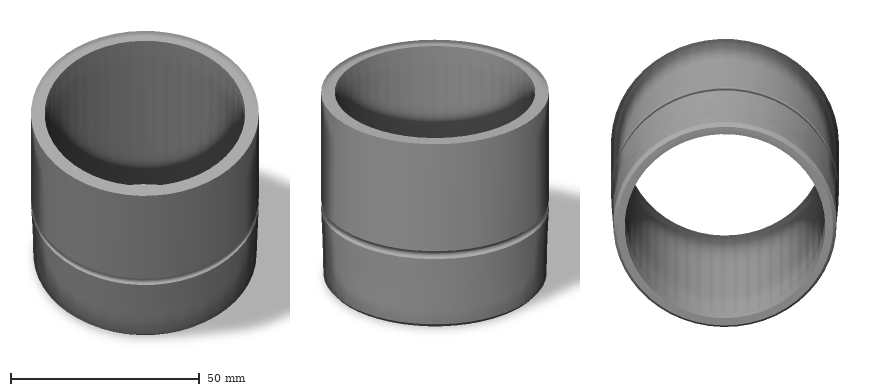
import cadquery as cq

outer_radius = 30.15
bore_radius = 26.55
height = 55.0

groove_bottom = 20.8
groove_top = 23.15
groove_depth = 1.6
groove_floor_width = 0.6

taper_reduction = 0.6
chamfer_height = 1.1
chamfer_width = 0.9

groove_radius = outer_radius - groove_depth
groove_middle = (groove_bottom + groove_top) / 2
floor_bottom = groove_middle - groove_floor_width / 2
floor_top = groove_middle + groove_floor_width / 2
taper_end_radius = outer_radius - taper_reduction
bottom_radius = taper_end_radius - chamfer_width

wall_section = (
    cq.Workplane("XZ")
    .moveTo(bore_radius, 0)
    .lineTo(bottom_radius, 0)
    .lineTo(taper_end_radius, chamfer_height)
    .lineTo(outer_radius, groove_bottom)
    .lineTo(groove_radius, floor_bottom)
    .lineTo(groove_radius, floor_top)
    .lineTo(outer_radius, groove_top)
    .lineTo(outer_radius, height)
    .lineTo(bore_radius, height)
    .close()
)

result = wall_section.revolve(360, (0, 0, 0), (0, 1, 0))